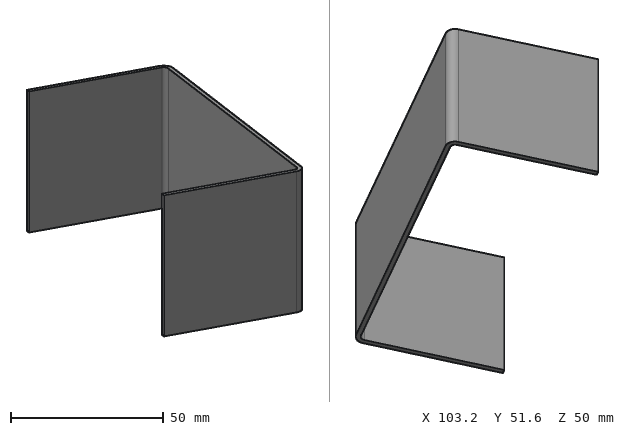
import cadquery as cq

width = 103.2
depth = 51.6
height = 50.0

thickness = 1.7
inner_bend_radius = 1.7
outer_bend_radius = inner_bend_radius + thickness


def bent_block(block_width, block_depth, bend_radius):
    """Block reaching back from the open front, with its two rear vertical edges rounded."""
    return (
        cq.Workplane("XY")
        .box(block_width, block_depth, height, centered=(True, False, True))
        .edges("|Z and >Y")
        .fillet(bend_radius)
    )


outside = bent_block(width, depth, outer_bend_radius)
inside = bent_block(width - 2 * thickness, depth - thickness, inner_bend_radius)

result = outside.cut(inside)